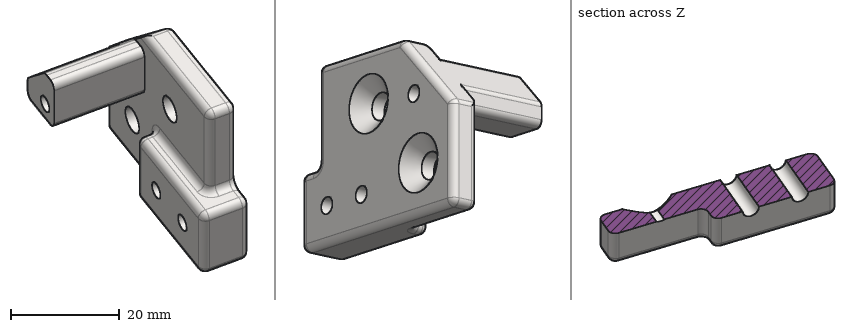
import cadquery as cq

overall_width = 44.0
plate_width = 39.0
plate_height = 34.7
plate_thickness = 6.0
bevel_start = 20.05
bevel_run = plate_height - bevel_start

block_width = 25.0
block_height = 15.0
block_depth = 10.0
block_left = overall_width - block_width

post_left = 4.5
post_right = 14.7
post_bottom = 19.98
post_top = 31.2
post_reach = 25.0

edge_radius = 1.5

bolt_hole_diameter = 5.3
bolt_hole_centres = [(10.0, 10.0), (24.38, 24.38)]
countersink_depth = 3.0
countersink_half_angle = 45
pin_hole_diameter = 3.25
pin_hole_centres = [(11.2, 23.5), (26.5, 7.5), (36.48, 7.5)]


def front_plane():
    """XZ sketch plane on the back face; extrusions run toward -Y."""
    return cq.Workplane("XZ")


def is_front_bevel_edge(edge):
    """True for the front edge of the 45 degree face, which stays sharp."""
    centre = edge.Center()
    on_bevel = abs(centre.z - centre.x - bevel_start) < 0.005
    on_front = abs(centre.y + plate_thickness) < 0.005
    return on_bevel and on_front


def rounded_body():
    plate = (
        front_plane()
        .moveTo(0, 0)
        .lineTo(plate_width, 0)
        .lineTo(plate_width, plate_height)
        .lineTo(bevel_run, plate_height)
        .lineTo(0, bevel_start)
        .close()
        .extrude(plate_thickness)
    )
    block = (
        front_plane()
        .moveTo(block_left, 0)
        .rect(block_width, block_height, centered=False)
        .extrude(block_depth)
    )
    body = plate.union(block).clean()
    edges = [edge for edge in body.edges().vals() if not is_front_bevel_edge(edge)]
    return body.newObject(edges).fillet(edge_radius)


def post():
    """Rectangular bar with its upper left corner cut along the bevel plane."""
    return (
        front_plane()
        .moveTo(post_left, post_bottom)
        .lineTo(post_right, post_bottom)
        .lineTo(post_right, post_top)
        .lineTo(post_top - bevel_start, post_top)
        .lineTo(post_left, post_left + bevel_start)
        .close()
        .extrude(post_reach)
        .edges("|Y")
        .fillet(edge_radius)
        .intersect(
            front_plane()
            .workplane(offset=plate_thickness / 2)
            .rect(2 * overall_width, 2 * overall_width)
            .extrude(post_reach)
        )
    )


def through_holes(centres, diameter):
    return front_plane().pushPoints(centres).circle(diameter / 2).extrude(post_reach)


def back_countersinks():
    """90 degree cones that open the bolt holes toward the back face."""
    back_radius = bolt_hole_diameter / 2 + countersink_depth
    return (
        front_plane()
        .pushPoints(bolt_hole_centres)
        .circle(back_radius)
        .extrude(countersink_depth, taper=countersink_half_angle)
    )


result = (
    rounded_body()
    .union(post())
    .cut(through_holes(bolt_hole_centres, bolt_hole_diameter))
    .cut(through_holes(pin_hole_centres, pin_hole_diameter))
    .cut(back_countersinks())
)